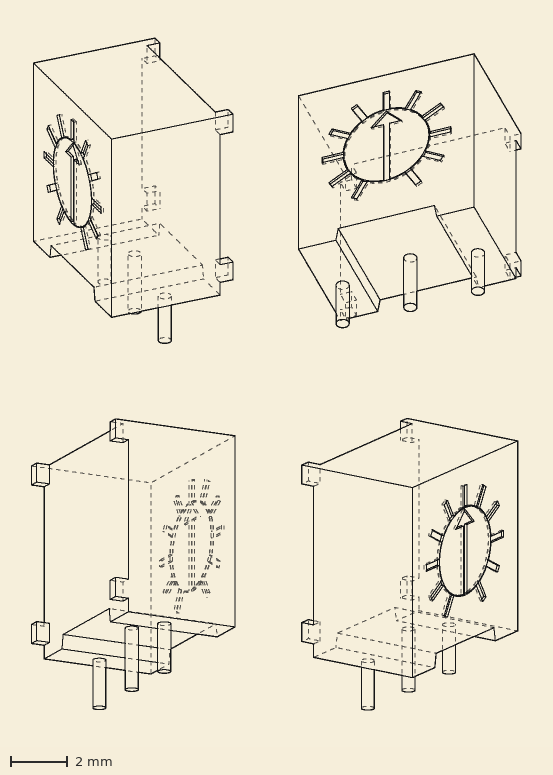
import cadquery as cq

width = 6.6
depth_overall = 4.7
height_overall = 8.76
lug_depth = 0.5
pin_length = 1.75
body_depth = depth_overall - lug_depth
body_height = height_overall - pin_length

lug_width = 0.42
lug_height = 0.7
lug_base_gap = 0.5
lower_lug_bottom = pin_length + lug_base_gap
upper_lug_bottom = height_overall - lug_height

notch_height = 0.51
notch_bottom_width = 3.78
notch_top_width = 3.61

pin_diameter = 0.46
pin_pitch = 2.54
pin_y = 2.41

dial_z = 5.56
disc_diameter = 3.2
bore_diameter = 3.25
engraving_depth = 0.1

tick_count = 12
tick_step = 360 / tick_count
bottom_tick = 6
tick_width = 0.24
tick_outer_radius = 2.42

arrow_tip_radius = 1.53
arrow_head_base = 0.95
arrow_head_width = 1.14
arrow_shaft_width = 0.23


def front_plane():
    """Sketch plane on the front face, centred on the dial; a negative extrusion goes into the body."""
    return cq.Workplane("XZ", origin=(0, 0, dial_z))


def dial_cylinder(diameter):
    """Cylinder on the dial axis, as deep as the engraving."""
    return front_plane().circle(diameter / 2).extrude(-engraving_depth)


def make_housing():
    body = cq.Workplane("XY", origin=(0, 0, pin_length)).box(
        width, body_depth, body_height, centered=(True, False, False)
    )
    notch = (
        cq.Workplane("XZ", origin=(0, 0, pin_length))
        .moveTo(-notch_bottom_width / 2, 0)
        .lineTo(-notch_top_width / 2, notch_height)
        .lineTo(notch_top_width / 2, notch_height)
        .lineTo(notch_bottom_width / 2, 0)
        .close()
        .extrude(-body_depth)
    )
    return body.cut(notch)


def make_lug(side, bottom):
    """One lug behind the body; it starts at the front face so that it fuses with the body."""
    lug_x = side * (width - lug_width) / 2
    return cq.Workplane("XY", origin=(lug_x, 0, bottom)).box(
        lug_width, depth_overall, lug_height, centered=(True, False, False)
    )


def make_pin(x):
    """One pin, reaching up past the notch ceiling into the body."""
    return (
        cq.Workplane("XY", origin=(x, pin_y, 0))
        .circle(pin_diameter / 2)
        .extrude(pin_length + notch_height)
    )


def make_ring_groove():
    return dial_cylinder(bore_diameter).cut(dial_cylinder(disc_diameter))


def make_ticks():
    """Radial marks running outward from the ring groove."""
    top_tick = (
        front_plane()
        .center(0, tick_outer_radius / 2)
        .rect(tick_width, tick_outer_radius)
        .extrude(-engraving_depth)
        .cut(dial_cylinder(disc_diameter))
    )
    axis_start = (0, 0, dial_z)
    axis_end = (0, 1, dial_z)
    ticks = cq.Workplane("XY")
    for index in range(tick_count):
        if index != bottom_tick:
            ticks = ticks.add(top_tick.rotate(axis_start, axis_end, index * tick_step))
    return ticks.combine()


def make_arrow():
    """Arrow across the disc; its shaft runs out into the ring groove at the bottom."""
    head = (
        front_plane()
        .moveTo(0, arrow_tip_radius)
        .lineTo(arrow_head_width / 2, arrow_head_base)
        .lineTo(-arrow_head_width / 2, arrow_head_base)
        .close()
        .extrude(-engraving_depth)
    )
    shaft_length = arrow_head_base + bore_diameter / 2
    shaft = (
        front_plane()
        .center(0, arrow_head_base - shaft_length / 2)
        .rect(arrow_shaft_width, shaft_length)
        .extrude(-engraving_depth)
    )
    return head.union(shaft.intersect(dial_cylinder(bore_diameter)))


result = make_housing()

for lug_side in (-1, 1):
    for lug_bottom in (lower_lug_bottom, upper_lug_bottom):
        result = result.union(make_lug(lug_side, lug_bottom))

for pin_x in (-pin_pitch, 0, pin_pitch):
    result = result.union(make_pin(pin_x))

result = result.cut(make_ring_groove()).cut(make_ticks()).cut(make_arrow())